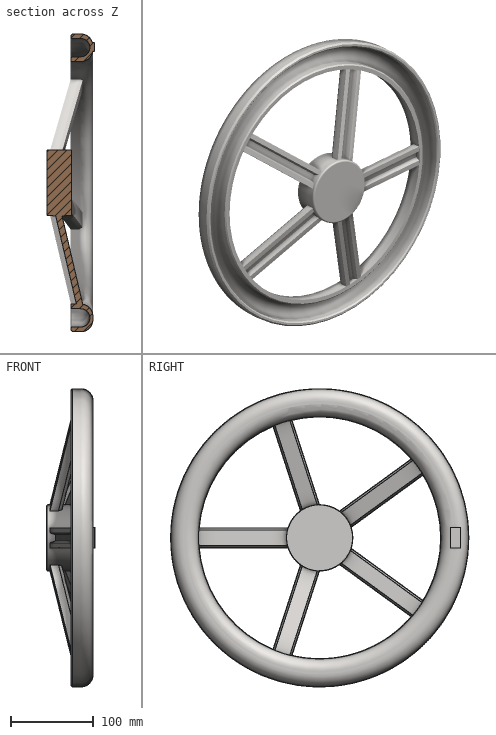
import cadquery as cq
import math

rim_outer_radius = 180.0
rim_inner_radius = 146.0
rim_crown_x = 27.0
rim_corner_radius = 15.0
rim_straight_x = rim_crown_x - rim_corner_radius
rim_lip_chamfer = 2.0
trough_inner_radius = 152.5
trough_outer_radius = 174.0
trough_edge_chamfer = 1.5

hub_radius = 40.0
hub_front_x = -29.0
hub_back_x = 1.0
hub_edge_fillet = 2.0

spoke_count = 5
spoke_pitch = 360.0 / spoke_count
spoke_width = 24.0
spoke_side_height = 10.0
spoke_height = 14.0
spoke_back_width = 19.0
groove_top_width = 12.0
groove_floor_width = 7.6
groove_depth = 6.0
spoke_hub_x = -24.6
spoke_rim_x = 0.3
spoke_start_radius = 30.0
spoke_end_radius = 148.0

spoke_slope = math.atan2(spoke_rim_x - spoke_hub_x, rim_inner_radius - hub_radius)

pad_length = 25.0
pad_width = 12.0
pad_height = 2.0
pad_center_y = 164.0
pad_root_depth = 3.0


def revolve_about_x(profile):
    """Turn a profile drawn in X and radius (Y) into a ring about the X axis."""
    return profile.close().revolve(360, (0, 0), (1, 0))


def axial_cylinder(radius, start_x, end_x):
    return cq.Workplane("YZ", origin=(start_x, 0, 0)).circle(radius).extrude(end_x - start_x)


def make_rim():
    """Ring with rounded crown corners, hollowed by a half-round trough."""
    diagonal = rim_corner_radius * math.sqrt(0.5)
    inner_center = rim_inner_radius + rim_corner_radius
    outer_center = rim_outer_radius - rim_corner_radius
    body = revolve_about_x(
        cq.Workplane("XY")
        .moveTo(0, rim_inner_radius)
        .lineTo(rim_straight_x, rim_inner_radius)
        .threePointArc((rim_straight_x + diagonal, inner_center - diagonal), (rim_crown_x, inner_center))
        .lineTo(rim_crown_x, outer_center)
        .threePointArc((rim_straight_x + diagonal, outer_center + diagonal), (rim_straight_x, rim_outer_radius))
        .lineTo(rim_lip_chamfer, rim_outer_radius)
        .lineTo(0, rim_outer_radius - rim_lip_chamfer)
    )
    floor_radius = (trough_outer_radius - trough_inner_radius) / 2
    trough = revolve_about_x(
        cq.Workplane("XY")
        .moveTo(0, trough_inner_radius - trough_edge_chamfer)
        .lineTo(trough_edge_chamfer, trough_inner_radius)
        .lineTo(rim_straight_x, trough_inner_radius)
        .threePointArc(
            (rim_straight_x + floor_radius, trough_inner_radius + floor_radius),
            (rim_straight_x, trough_outer_radius),
        )
        .lineTo(trough_edge_chamfer, trough_outer_radius)
        .lineTo(0, trough_outer_radius + trough_edge_chamfer)
    )
    return body.cut(trough)


def make_hub():
    hub = axial_cylinder(hub_radius, hub_front_x, hub_back_x)
    return hub.faces("<X").edges().fillet(hub_edge_fillet)


def make_spoke():
    """Grooved bar pointing along -Y."""
    start_x = spoke_hub_x - (hub_radius - spoke_start_radius) * math.tan(spoke_slope)
    section_plane = cq.Plane(
        origin=(start_x, -spoke_start_radius, 0),
        xDir=(0, 0, -1),
        normal=(math.sin(spoke_slope), -math.cos(spoke_slope), 0),
    )
    half_section = [
        (groove_floor_width / 2, groove_depth),
        (groove_top_width / 2, 0),
        (spoke_width / 2, 0),
        (spoke_width / 2, spoke_side_height),
        (spoke_back_width / 2, spoke_height),
    ]
    mirrored = [(-across, depth) for across, depth in reversed(half_section)]
    bar = cq.Workplane(section_plane).polyline(half_section + mirrored).close().extrude(rim_outer_radius)
    return bar.intersect(axial_cylinder(spoke_end_radius, hub_front_x, rim_crown_x))


def make_pad():
    pad = cq.Workplane("YZ", origin=(rim_crown_x - pad_root_depth, pad_center_y, 0))
    return pad.rect(pad_width, pad_length).extrude(pad_root_depth + pad_height)


result = make_rim().union(make_hub()).union(make_pad())
for spoke_index in range(spoke_count):
    spoke = make_spoke().rotate((0, 0, 0), (1, 0, 0), spoke_pitch * spoke_index)
    result = result.union(spoke)